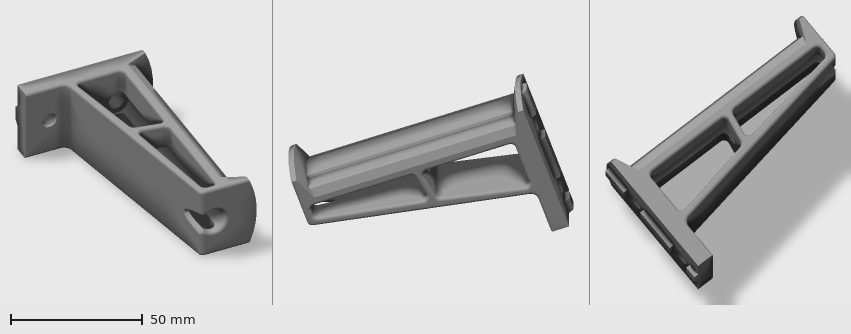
import cadquery as cq
import math

total_length = 95.0
depth = 55.89
height = 30.0
mid_z = height / 2

rail_depth = 1.8
rail_half_height = 3.9
rail_top_gap = 1.8
rail_hole_gap = 10.0
plate_front = 9.0
screw_y = [10.0, 38.0]
screw_diameter = 6.2
driver_bore_diameter = 10.5

slope_angle = 10.0
slope_start_y = 15.95
wall = 3.0
beam_y = 42.0
pocket_top_y = 40.3
pocket_left_x = 9.9
strut_wall = 2.8
strut_top_x = 48.7
corner_radius = 2.0
root_radius = 3.0
edge_radius = 1.2
selection_margin = 0.1

cheek_radius = 36.0
core_radius = 30.0
cheek_root_radius = 27.0
saddle_axis_y = depth - cheek_radius
cheek_rim = 2.2
cheek_flare_angle = 25.5

bevel_start_y = 43.5
bevel_angle = 28.0
groove_top_y = 47.2
groove_floor_y = 47.8
groove_lip_y = 49.2
groove_start_x = 6.9

slope = math.tan(math.radians(slope_angle))
normal_scale = math.cos(math.radians(slope_angle))


def outer_slope_y(x):
    """Y of the sloped underside at x."""
    return slope_start_y + (x - rail_depth) * slope


def inner_slope_y(x):
    """Y of the pocket side of the sloped wall at x."""
    return outer_slope_y(x) + wall / normal_scale


def strut_x(y, offset):
    """Point on a strut side, which stands square to the sloped wall."""
    return strut_top_x - (pocket_top_y - y) * slope + offset / normal_scale


def bracket_outline():
    """Plate and sloped beam as one solid block, with the root and nose corners rounded."""
    outline = (
        cq.Workplane("XY")
        .moveTo(rail_depth, 0)
        .lineTo(plate_front, 0)
        .lineTo(plate_front, outer_slope_y(plate_front))
        .lineTo(total_length, outer_slope_y(total_length))
        .lineTo(total_length, beam_y)
        .lineTo(rail_depth, beam_y)
        .close()
        .extrude(height)
    )
    root = cq.selectors.NearestToPointSelector((plate_front, outer_slope_y(plate_front), mid_z))
    nose = cq.selectors.NearestToPointSelector((total_length, outer_slope_y(total_length), mid_z))
    return outline.edges(root).fillet(root_radius).edges(nose).fillet(corner_radius)


def strut_foot(offset):
    """Where a strut side meets the pocket side of the sloped wall."""
    top_x = strut_x(pocket_top_y, offset)
    drop = (pocket_top_y - inner_slope_y(top_x)) / (1 + slope ** 2)
    y = pocket_top_y - drop
    return (strut_x(y, offset), y)


def pocket(points):
    """Through pocket with rounded corners."""
    prism = cq.Workplane("XY").polyline(points).close().extrude(height)
    return prism.edges("|Z").fillet(corner_radius)


def pockets():
    """The two pockets either side of the strut."""
    right_x = total_length - wall
    near = pocket([
        (pocket_left_x, pocket_top_y),
        (strut_x(pocket_top_y, -strut_wall / 2), pocket_top_y),
        strut_foot(-strut_wall / 2),
        (pocket_left_x, inner_slope_y(pocket_left_x)),
    ])
    far = pocket([
        (strut_x(pocket_top_y, strut_wall / 2), pocket_top_y),
        (right_x, pocket_top_y),
        (right_x, inner_slope_y(right_x)),
        strut_foot(strut_wall / 2),
    ])
    return near.union(far)


def turned_about_saddle_axis(points):
    """Turned solid from a half profile in X and Y."""
    return (
        cq.Workplane("XY")
        .polyline(points)
        .close()
        .revolve(360, (0, saddle_axis_y, 0), (1, saddle_axis_y, 0))
        .translate((0, 0, mid_z))
    )


def cheek():
    """Left end cheek, its inner face flaring towards the axis."""
    flare = (cheek_radius - cheek_root_radius) * math.tan(math.radians(cheek_flare_angle))
    rim_x = rail_depth + cheek_rim
    return turned_about_saddle_axis([
        (rail_depth, saddle_axis_y),
        (rail_depth, depth),
        (rim_x, depth),
        (rim_x + flare, saddle_axis_y + cheek_root_radius),
        (rim_x + flare, saddle_axis_y),
    ])


def prism_along_core(start_x, points):
    """Prism in Y and Z running between matching ends, with its mirror image on the lower half."""
    length = rail_depth + total_length - 2 * start_x
    upper = cq.Workplane("YZ", origin=(start_x, 0, 0)).polyline(points).close().extrude(length)
    return upper.union(upper.mirror("XY", (0, 0, mid_z)))


def bevel_z(y):
    """Height of the upper bevel plane at y."""
    return height - (y - bevel_start_y) * math.tan(math.radians(bevel_angle))


def core():
    """Round core with a bevel along both long edges."""
    top_y = saddle_axis_y + core_radius
    round_core = turned_about_saddle_axis([
        (rail_depth, saddle_axis_y),
        (rail_depth, top_y),
        (total_length, top_y),
        (total_length, saddle_axis_y),
    ])
    bevel = prism_along_core(rail_depth, [
        (bevel_start_y, height),
        (depth, bevel_z(depth)),
        (depth, height),
    ])
    return round_core.cut(bevel)


def grooves():
    """Steps cut into the core beyond each bevel, their floors parallel to it."""
    lip_z = mid_z + math.sqrt(core_radius ** 2 - (groove_lip_y - saddle_axis_y) ** 2)
    floor_rise = bevel_z(groove_floor_y) - bevel_z(groove_lip_y)
    return prism_along_core(groove_start_x, [
        (groove_top_y, height),
        (groove_top_y, bevel_z(groove_top_y)),
        (groove_floor_y, lip_z + floor_rise),
        (groove_lip_y, lip_z),
        (depth, lip_z),
        (depth, height),
    ])


def saddle():
    """Core and both cheeks, trimmed to the flat sides of the part."""
    left_cheek = cheek()
    right_cheek = left_cheek.mirror("YZ", ((rail_depth + total_length) / 2, 0, 0))
    slab = cq.Workplane("XY").box(total_length, depth, height, centered=False).translate((0, beam_y, 0))
    return core().union(left_cheek).union(right_cheek).intersect(slab)


def rail():
    """Back rail with one bevelled long side, interrupted around the screw holes."""
    low_z = mid_z - rail_half_height
    high_z = mid_z + rail_half_height
    half_gap = rail_hole_gap / 2
    starts = [0] + [y + half_gap for y in screw_y]
    ends = [y - half_gap for y in screw_y] + [depth - rail_top_gap]
    profile = [
        (rail_depth, low_z),
        (rail_depth, high_z),
        (0, high_z),
        (0, low_z + rail_depth),
    ]
    bar = cq.Workplane("XY")
    for start, end in zip(starts, ends):
        piece = cq.Workplane("XZ").polyline(profile).close().extrude(start - end)
        bar = bar.union(piece.translate((0, start, 0)))
    return bar


def bore(diameter, y, start_x, end_x):
    """Cylinder along X at mid height."""
    return (
        cq.Workplane("YZ", origin=(start_x, y, mid_z))
        .circle(diameter / 2)
        .extrude(end_x - start_x)
    )


def round_rims(body):
    """Round the pocket rims, the underside edges and the free end on both flat sides."""
    beam_box = cq.selectors.BoxSelector(
        (plate_front - edge_radius, selection_margin, -selection_margin),
        (total_length - selection_margin, beam_y, height + selection_margin),
    )
    end_edges = cq.selectors.StringSyntaxSelector("|Y and >X")
    return body.faces(">Z or <Z").edges(beam_box + end_edges).fillet(edge_radius)


def round_bore_exit(body):
    """Round the rim where the driver bore breaks out through the free end and its lower corner."""
    radius = driver_bore_diameter / 2
    exit_box = cq.selectors.BoxSelector(
        (total_length - corner_radius / 2, screw_y[1] - 2 * radius, mid_z - radius),
        (total_length + selection_margin, screw_y[1] + 2 * radius, mid_z + radius),
    )
    return body.edges(exit_box).fillet(edge_radius)


result = bracket_outline().cut(pockets()).union(saddle())
result = round_rims(result)
result = result.cut(grooves()).union(rail())
result = result.cut(bore(driver_bore_diameter, screw_y[1], plate_front, total_length))
result = round_bore_exit(result)
for y in screw_y:
    result = result.cut(bore(screw_diameter, y, 0, plate_front))